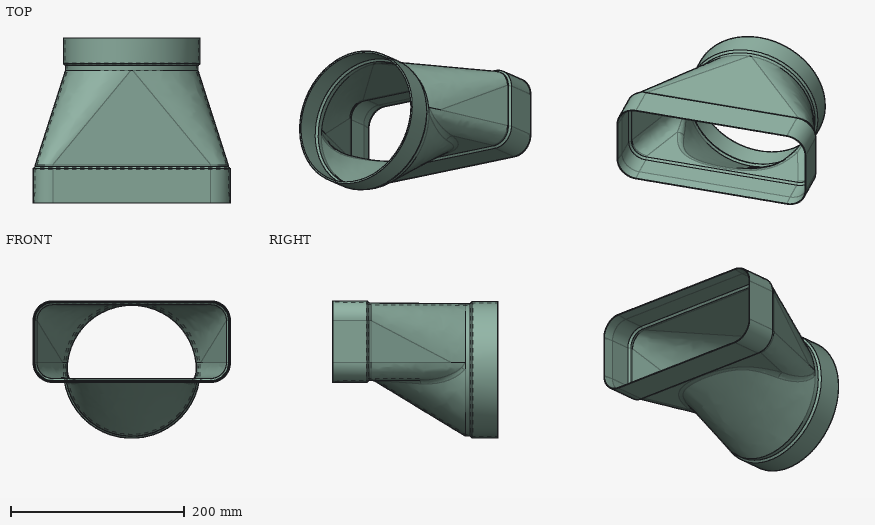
import cadquery as cq
import math

length = 190.0
wall = 2.0

mouth_width = 227.0
mouth_height = 94.0
mouth_corner = 22.7
mouth_collar_end = 39.5

round_radius = 78.8
round_axis_z = mouth_height / 2 - 79.5
round_collar_length = 29.5

step = 2.5
bevel_length = 2.5
mouth_neck_end = 44.0
round_neck_start = 152.5

ridge_half_width = 1.1
neck_floor_z = step - mouth_height / 2
neck_corner = mouth_corner - step
pipe_start = 46.8
pipe_start_half_width = 68.0
pipe_start_half_height = 22.7
joint_fillet = 9.0

lip_thickness = 1.0
lip_length = 12.5

trim_start = 22.7
pipe_trim_end = 170.2
trough_trim_end = 177.0
trough_trim_top = 136.2


def section_plane(y):
    """Plane across the duct: local x is X, local y is Z, normal is -Y."""
    return cq.Workplane("XZ", origin=(0, y, 0))


def arched_wire(y, half_width, floor_z, shoulder_z, shoulder_radius):
    """Outline with a flat floor, upright sides and two arched shoulders beside a flat ridge."""
    centre_x = half_width - shoulder_radius
    ridge_x = max(centre_x, ridge_half_width)
    top_z = shoulder_z + math.sqrt(shoulder_radius**2 - (ridge_x - centre_x) ** 2)
    mid_x = centre_x + shoulder_radius * math.sqrt(0.5)
    mid_z = shoulder_z + shoulder_radius * math.sqrt(0.5)
    return (
        section_plane(y)
        .moveTo(-half_width, floor_z)
        .lineTo(half_width, floor_z)
        .lineTo(half_width, shoulder_z)
        .threePointArc((mid_x, mid_z), (ridge_x, top_z))
        .lineTo(-ridge_x, top_z)
        .threePointArc((-mid_x, mid_z), (-half_width, shoulder_z))
        .close()
        .val()
    )


def trough_wire(y, half_width, floor_z, top_z, corner):
    """Outline with rounded floor corners and a flat open top."""
    low_x = half_width - corner
    low_z = floor_z + corner
    reach = corner * math.sqrt(0.5)
    return (
        section_plane(y)
        .moveTo(-low_x, floor_z)
        .lineTo(low_x, floor_z)
        .threePointArc((low_x + reach, low_z - reach), (half_width, low_z))
        .lineTo(half_width, top_z)
        .lineTo(-half_width, top_z)
        .lineTo(-half_width, low_z)
        .threePointArc((-low_x - reach, low_z - reach), (-low_x, floor_z))
        .close()
        .val()
    )


def ruled(start_wire, end_wire):
    return cq.Workplane(cq.Solid.makeLoft([start_wire, end_wire], True))


def circle_wire(y, radius, axis_z):
    return cq.Wire.makeCircle(radius, cq.Vector(0, y, axis_z), cq.Vector(0, 1, 0))


def round_tube(y_start, y_end, start_radius, end_radius):
    return ruled(
        circle_wire(y_start, start_radius, round_axis_z), circle_wire(y_end, end_radius, round_axis_z)
    )


def mouth_tube(y_start, y_end, start_inset, end_inset):
    sections = []
    for inset in (start_inset, end_inset):
        outline = cq.Sketch().rect(mouth_width - 2 * inset, mouth_height - 2 * inset)
        sections.append(outline.vertices().fillet(mouth_corner - inset))
    return (
        section_plane(y_start)
        .placeSketch(sections[0], sections[1].moved(cq.Location(cq.Vector(0, 0, y_start - y_end))))
        .loft(ruled=True)
    )


def arch(inset):
    """Arched envelope narrowing from the mouth neck to the width of the round neck."""
    half_width = mouth_width / 2 - step - inset
    floor_z = neck_floor_z + inset
    corner = neck_corner - inset
    shoulder_z = mouth_height / 2 - mouth_corner
    radius = round_radius - step - inset
    return ruled(
        arched_wire(mouth_neck_end, half_width, floor_z, shoulder_z, corner),
        arched_wire(round_neck_start, radius, floor_z, round_axis_z, radius),
    )


def trough(inset):
    """Tall tapered body whose sides and rounded floor line up with the arch."""
    taper = (mouth_width / 2 - round_radius) / (round_neck_start - mouth_neck_end)

    def outline(y):
        half_width = mouth_width / 2 - step - inset - taper * (y - mouth_neck_end)
        return trough_wire(y, half_width, neck_floor_z + inset, trough_trim_top, neck_corner - inset)

    return ruled(outline(trim_start), outline(trough_trim_end))


def slanted_pipe(inset):
    """Pipe flattening from the round neck to a low ellipse whose underside touches the floor."""
    start_half_width = pipe_start_half_width - inset
    start_half_height = pipe_start_half_height - inset
    start_z = neck_floor_z + pipe_start_half_height
    radius = round_radius - step - inset

    def ellipse(y):
        along = (y - pipe_start) / (round_neck_start - pipe_start)
        half_width = start_half_width + along * (radius - start_half_width)
        half_height = start_half_height + along * (radius - start_half_height)
        centre = cq.Vector(0, y, start_z + along * (round_axis_z - start_z))
        return cq.Wire.makeEllipse(half_width, half_height, centre, cq.Vector(0, -1, 0), cq.Vector(1, 0, 0))

    return ruled(ellipse(pipe_start), ellipse(pipe_trim_end))


def transition(inset):
    """Trough and pipe blended together, trimmed above by the arch and behind by the round neck."""
    body = trough(inset).union(slanted_pipe(inset))
    joint = body.edges(
        cq.selectors.BoxSelector(
            (-mouth_width, pipe_start - 2.3, -mouth_width), (mouth_width, pipe_trim_end, 0), boundingbox=True
        )
    )
    body = joint.fillet(joint_fillet)
    low_side = (
        cq.Workplane()
        .box(mouth_width, round_neck_start - mouth_neck_end, mouth_width, centered=(True, False, False))
        .translate((0, mouth_neck_end, neck_floor_z + neck_corner - mouth_width))
    )
    return body.intersect(arch(inset).union(low_side))


def duct(inset):
    """Solid envelope of the whole adapter, moved in by `inset`."""
    bevel_shift = inset * math.tan(math.radians(22.5))
    mouth_bevel_start = mouth_collar_end - bevel_shift
    mouth_bevel_end = mouth_bevel_start + bevel_length
    round_collar_start = length - round_collar_length + bevel_shift
    round_bevel_start = round_collar_start - bevel_length
    collar_radius = round_radius - inset
    neck_radius = collar_radius - step
    return (
        transition(inset)
        .union(mouth_tube(0, mouth_bevel_start, inset, inset))
        .union(mouth_tube(mouth_bevel_start, mouth_bevel_end, inset, inset + step))
        .union(mouth_tube(mouth_bevel_end, mouth_neck_end, inset + step, inset + step))
        .union(round_tube(round_neck_start, round_bevel_start, neck_radius, neck_radius))
        .union(round_tube(round_bevel_start, round_collar_start, neck_radius, collar_radius))
        .union(round_tube(round_collar_start, length, collar_radius, collar_radius))
    )


lead_in = mouth_tube(0, lip_length, lip_thickness, wall)
result = duct(0).cut(duct(wall)).cut(lead_in)